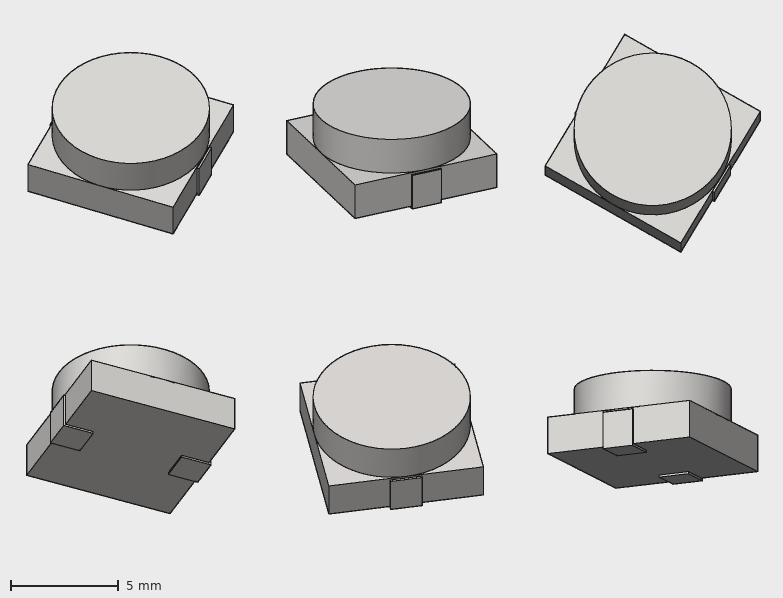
import cadquery as cq

overall_length = 7.5
body_width = 7.3
sheet = (overall_length - body_width) / 2
overall_height = 3.6
base_height = (overall_height - sheet) / 2
core_height = base_height

terminal_width = 1.5
foot_length = 1.5
terminal_height = base_height


def make_base():
    """Square block resting on the feet of the terminals."""
    return (
        cq.Workplane("XY")
        .workplane(offset=sheet)
        .rect(body_width, body_width)
        .extrude(base_height)
    )


def make_core():
    """Round disc standing on the base."""
    return (
        cq.Workplane("XY")
        .workplane(offset=sheet + base_height)
        .circle(body_width / 2)
        .extrude(core_height)
    )


def make_terminal(side):
    """L-shaped strip up one X face and under the base; side is -1 or +1."""
    outer_x = side * overall_length / 2
    wall_x = side * body_width / 2
    foot_end_x = side * (overall_length / 2 - foot_length)
    profile = [
        (outer_x, 0),
        (outer_x, terminal_height),
        (wall_x, terminal_height),
        (wall_x, sheet),
        (foot_end_x, sheet),
        (foot_end_x, 0),
    ]
    return cq.Workplane("XZ").polyline(profile).close().extrude(terminal_width / 2, both=True)


base = make_base()
core = make_core()
terminals = [make_terminal(side) for side in (-1, 1)]

result = cq.Compound.makeCompound(
    [base.val(), core.val(), *[terminal.val() for terminal in terminals]]
)